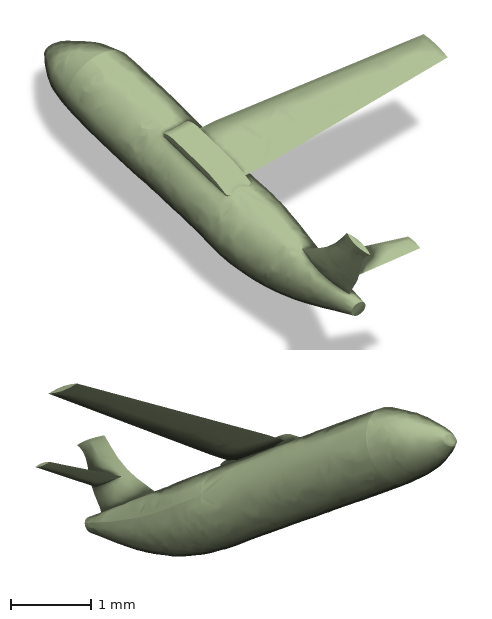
import cadquery as cq

TOTAL_LENGTH = 6.76
TOTAL_HEIGHT = 2.02

BODY_HEIGHT = 1.0
BODY_RADIUS = BODY_HEIGHT / 2
BODY_START = 1.0
BODY_END = 3.995
TAIL_END = 6.5
BULGE_HALF_WIDTH = 0.52
NOSE_TIP_RADIUS = 0.05

NOSE_STATIONS = [
    (0, 0.11, 0.25, 0.39),
    (0.08, 0.175, 0.19, 0.49),
    (0.25, 0.28, 0.12, 0.61),
    (0.51, 0.405, 0.055, 0.78),
    (0.745, 0.465, 0.02, 0.89),
    (BODY_START, BODY_RADIUS, 0, BODY_HEIGHT),
]
BODY_STATIONS = [
    (BODY_START, BODY_RADIUS, 0, BODY_HEIGHT),
    (1.69, BULGE_HALF_WIDTH, 0, BODY_HEIGHT),
    (2.705, BODY_RADIUS, 0, BODY_HEIGHT),
    (BODY_END, BODY_RADIUS, 0, BODY_HEIGHT),
]
TAIL_STATIONS = [
    (BODY_END, BODY_RADIUS, 0, BODY_HEIGHT),
    (4.46, 0.48, 0.01, BODY_HEIGHT),
    (5, 0.39, 0.095, BODY_HEIGHT),
    (5.475, 0.3, 0.26, BODY_HEIGHT),
    (5.95, 0.2, 0.49, BODY_HEIGHT),
    (TAIL_END, 0.11, 0.79, BODY_HEIGHT),
]

FAIRING_HALF_WIDTH = 0.19
FAIRING_BOTTOM = 0.93
FAIRING_EDGE = 0.98
FAIRING_TOP = 1.08
FAIRING_FRONT = 2.59
FAIRING_REAR = BODY_END
FAIRING_CROWN_START = 2.865
FAIRING_CROWN_END = 3.435
FAIRING_FRONT_SLANT = 0.04
FAIRING_REAR_SLANT = 0.07
FAIRING_CORNER_RADIUS = 0.06

WING_Z = 1.0
WING_ROOT = (2.81, 3.825)
WING_TIP = (3.08, 3.595)
WING_BREAK_Y = 0.49
WING_TIP_Y = 3.49
WING_ROOT_THICKNESS = 0.12
WING_TIP_THICKNESS = 0.055

FIN_SINK = 0.07
FIN_ROOT_THICKNESS = 0.115
FIN_TIP_THICKNESS = 0.075
FIN_STATIONS = [
    (5.23, 6.31, BODY_HEIGHT - FIN_SINK, FIN_ROOT_THICKNESS),
    (5.64, 6.435, 1.27, 0.1),
    (5.95, 6.54, 1.575, 0.09),
    (6.17, 6.64, 1.885, FIN_TIP_THICKNESS),
    (6.26, TOTAL_LENGTH, TOTAL_HEIGHT, FIN_TIP_THICKNESS),
]

TAILPLANE_ROOT = (5.895, 6.41)
TAILPLANE_TIP = (6.27, 6.53)
TAILPLANE_ROOT_Z = 1.37
TAILPLANE_TIP_Z = 1.44
TAILPLANE_TIP_Y = 0.93
TAILPLANE_ROOT_THICKNESS = 0.05
TAILPLANE_TIP_THICKNESS = 0.035

THICKEST_AT = 0.35


def loft(wires, ruled=False):
    return cq.Workplane(cq.Solid.makeLoft(wires, ruled))


def fuselage_section(x, half_width, bottom, top):
    """Ellipse across the fuselage."""
    plane = cq.Plane(origin=(x, 0, (bottom + top) / 2), xDir=(0, 1, 0), normal=(1, 0, 0))
    return cq.Workplane(plane).ellipse(half_width, (top - bottom) / 2).val()


def fuselage_part(stations):
    return loft([fuselage_section(*station) for station in stations])


def airfoil(plane, chord, thickness):
    """Symmetric airfoil with its leading edge at the plane origin."""
    crest = THICKEST_AT * chord
    half = thickness / 2
    outline = (
        cq.Workplane(plane)
        .spline([(0, 0), (crest, half), (chord, 0)])
        .spline([(chord, 0), (crest, -half), (0, 0)])
        .close()
    )
    return outline.val()


def span_airfoil(edges, y, z, thickness):
    """Airfoil across a surface that spans along Y."""
    leading, trailing = edges
    plane = cq.Plane(origin=(leading, y, z), xDir=(1, 0, 0), normal=(0, 1, 0))
    return airfoil(plane, trailing - leading, thickness)


def fin_airfoil(leading, trailing, z, thickness):
    plane = cq.Plane(origin=(leading, 0, z), xDir=(1, 0, 0), normal=(0, 0, 1))
    return airfoil(plane, trailing - leading, thickness)


def make_fairing():
    """Long low box with a smoothly arched roof and rounded corners in plan."""
    roof = [
        (FAIRING_FRONT, FAIRING_EDGE),
        (FAIRING_CROWN_START, FAIRING_TOP),
        (FAIRING_CROWN_END, FAIRING_TOP),
        (FAIRING_REAR, FAIRING_EDGE),
    ]
    profile = (
        cq.Workplane("XZ")
        .moveTo(FAIRING_FRONT + FAIRING_FRONT_SLANT, FAIRING_BOTTOM)
        .lineTo(*roof[0])
        .spline(roof[1:], tangents=[(1, 1), (1, 0), (1, 0), (3, -1)], includeCurrent=True)
        .lineTo(FAIRING_REAR - FAIRING_REAR_SLANT, FAIRING_BOTTOM)
        .close()
        .extrude(FAIRING_HALF_WIDTH, both=True)
    )
    plan = (
        cq.Workplane("XY")
        .center((FAIRING_FRONT + FAIRING_REAR) / 2, 0)
        .rect(FAIRING_REAR - FAIRING_FRONT, 2 * FAIRING_HALF_WIDTH)
        .extrude(TOTAL_HEIGHT)
        .edges("|Z")
        .fillet(FAIRING_CORNER_RADIUS)
    )
    return profile.intersect(plan)


def make_wing():
    """Constant chord over the fuselage, then a straight taper to the tip."""
    root = span_airfoil(WING_ROOT, 0, WING_Z, WING_ROOT_THICKNESS)
    taper_start = span_airfoil(WING_ROOT, WING_BREAK_Y, WING_Z, WING_ROOT_THICKNESS)
    tip = span_airfoil(WING_TIP, WING_TIP_Y, WING_Z, WING_TIP_THICKNESS)
    return loft([root, taper_start, tip], ruled=True)


def make_fin():
    return loft([fin_airfoil(*station) for station in FIN_STATIONS])


def make_tailplane():
    root = span_airfoil(TAILPLANE_ROOT, 0, TAILPLANE_ROOT_Z, TAILPLANE_ROOT_THICKNESS)
    tip = span_airfoil(TAILPLANE_TIP, TAILPLANE_TIP_Y, TAILPLANE_TIP_Z, TAILPLANE_TIP_THICKNESS)
    return loft([root, tip], ruled=True)


nose = fuselage_part(NOSE_STATIONS).faces("<X").edges().fillet(NOSE_TIP_RADIUS)
result = fuselage_part(BODY_STATIONS).union(nose).union(fuselage_part(TAIL_STATIONS))
for feature in (make_fairing(), make_wing(), make_fin(), make_tailplane()):
    result = result.union(feature)